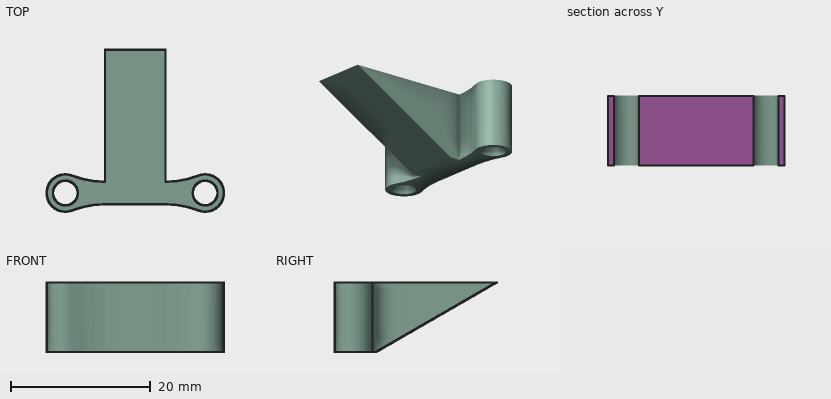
import cadquery as cq
import math

height = 10.0
overall_width = 25.35
lug_radius = 2.69
hole_diameter = 3.5
arm_width = 8.67
waist_half_depth = 1.62
arm_tip_y = 20.48
wedge_angle = 30.0

lug_x = overall_width / 2 - lug_radius
arm_half_width = arm_width / 2
wedge_start_y = arm_tip_y - height / math.tan(math.radians(wedge_angle))

neck_span = lug_x - arm_half_width
neck_radius = (neck_span**2 + waist_half_depth**2 - lug_radius**2) / (2 * (lug_radius - waist_half_depth))
neck_center_y = waist_half_depth + neck_radius
blend = lug_radius / (neck_radius + lug_radius)
tangent_x = lug_x - neck_span * blend
tangent_y = neck_center_y * blend
half_sweep = math.asin((tangent_x - arm_half_width) / neck_radius) / 2
neck_mid_x = arm_half_width + neck_radius * math.sin(half_sweep)
neck_mid_y = neck_center_y - neck_radius * math.cos(half_sweep)


def make_crossbar():
    """Bar with a round lug at each end and concave necks."""
    return (
        cq.Workplane("XY")
        .moveTo(-arm_half_width, -waist_half_depth)
        .lineTo(arm_half_width, -waist_half_depth)
        .threePointArc((neck_mid_x, -neck_mid_y), (tangent_x, -tangent_y))
        .threePointArc((lug_x + lug_radius, 0), (tangent_x, tangent_y))
        .threePointArc((neck_mid_x, neck_mid_y), (arm_half_width, waist_half_depth))
        .lineTo(-arm_half_width, waist_half_depth)
        .threePointArc((-neck_mid_x, neck_mid_y), (-tangent_x, tangent_y))
        .threePointArc((-lug_x - lug_radius, 0), (-tangent_x, -tangent_y))
        .threePointArc((-neck_mid_x, -neck_mid_y), (-arm_half_width, -waist_half_depth))
        .close()
        .extrude(height)
    )


def make_arm():
    """Flat-topped arm whose underside rises to a sharp edge at the tip."""
    side_profile = [(0, 0), (wedge_start_y, 0), (arm_tip_y, height), (0, height)]
    return cq.Workplane("YZ").polyline(side_profile).close().extrude(arm_half_width, both=True)


def make_lug_holes():
    """Through holes concentric with the lugs."""
    return (
        cq.Workplane("XY")
        .pushPoints([(-lug_x, 0), (lug_x, 0)])
        .circle(hole_diameter / 2)
        .extrude(height)
    )


result = make_crossbar().union(make_arm()).cut(make_lug_holes())